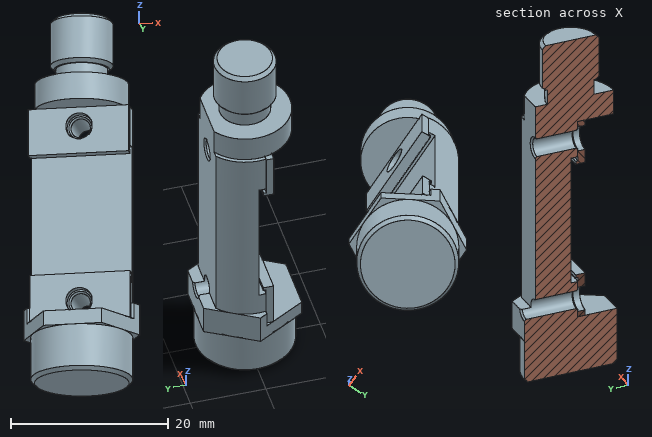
import cadquery as cq

TOTAL_HEIGHT = 48.0
HEX_BOTTOM = 6.0
HEX_STEP = 7.9
HEX_TOP = 10.0
FLANGE_BOTTOM = 36.0
FLANGE_TOP = 39.5
STUD_BOTTOM = 41.5
MIDDLE = (HEX_STEP + FLANGE_BOTTOM) / 2

BARREL_DIAMETER = 13.0
HEX_ACROSS_FLATS = BARREL_DIAMETER
HEX_FLAT_TO_CORNER = 3 ** 0.5 / 2
FLANGE_DIAMETER = 12.0
NECK_DIAMETER = 6.6
STUD_DIAMETER = 8.0
STUD_CHAMFER = 0.5
BASE_CHAMFER = 0.5
BACK_FLAT_Y = 5.0
SEAT_Y = -1.0
RECESS_Y = -0.1
SEAT_OVERHANG = 1.0

PLATE_WIDTH = 12.95
PLATE_HEIGHT = 6.1
PLATE_THICKNESS = 1.0
PLATE_SIDE_OFFSET = 0.1
LIP_HEIGHT = 0.5
LIP_DEPTH = 0.35

PLATE_HOLE_DIAMETER = 3.4
HOUSING_HOLE_DIAMETER = 2.5
HOLE_CHAMFER = 0.25
HOLE_FROM_MIDDLE = 11.55

CLEARANCE = 24.0


def cylinder(diameter, bottom, top):
    return cq.Workplane("XY").workplane(offset=bottom).circle(diameter / 2).extrude(top - bottom)


def box_between(x_range, y_range, z_range):
    """Box given by its lower and upper limit along each axis."""
    limits = (x_range, y_range, z_range)
    size = [high - low for low, high in limits]
    return cq.Workplane("XY").box(*size, centered=False).translate([low for low, high in limits])


def front_cut(back_y, bottom, top):
    """Tool that removes everything in front of back_y between two heights."""
    return box_between((-CLEARANCE, CLEARANCE), (-CLEARANCE, back_y), (bottom, top))


def housing_hole(height, back_y):
    """Tool for a hole from the plate seat to back_y, chamfered at both ends."""
    hole_radius = HOUSING_HOLE_DIAMETER / 2
    mouth_radius = hole_radius + HOLE_CHAMFER
    profile = (
        cq.Workplane("XY")
        .moveTo(0, SEAT_Y)
        .lineTo(mouth_radius, SEAT_Y)
        .lineTo(hole_radius, SEAT_Y + HOLE_CHAMFER)
        .lineTo(hole_radius, back_y - HOLE_CHAMFER)
        .lineTo(mouth_radius, back_y)
        .lineTo(0, back_y)
        .close()
    )
    return profile.revolve(360, (0, 0, 0), (0, 1, 0)).translate((0, 0, height))


def make_housing():
    base = cylinder(BARREL_DIAMETER, 0, HEX_BOTTOM).faces("<Z").chamfer(BASE_CHAMFER)
    hexagon = (
        cq.Workplane("XY")
        .workplane(offset=HEX_BOTTOM)
        .polygon(6, HEX_ACROSS_FLATS / HEX_FLAT_TO_CORNER)
        .extrude(HEX_TOP - HEX_BOTTOM)
        .cut(front_cut(SEAT_Y, HEX_STEP, HEX_TOP))
    )

    barrel = cylinder(BARREL_DIAMETER, HEX_TOP, FLANGE_BOTTOM)
    barrel = barrel.cut(front_cut(SEAT_Y, HEX_TOP, FLANGE_BOTTOM))
    seat_to_middle = FLANGE_BOTTOM - PLATE_HEIGHT + SEAT_OVERHANG - MIDDLE
    barrel = barrel.cut(front_cut(RECESS_Y, MIDDLE - seat_to_middle, MIDDLE + seat_to_middle))

    flange = cylinder(FLANGE_DIAMETER, FLANGE_BOTTOM, FLANGE_TOP)
    back_flat = box_between((-CLEARANCE, CLEARANCE), (BACK_FLAT_Y, CLEARANCE), (HEX_TOP, FLANGE_TOP))
    shaft = barrel.union(flange).cut(back_flat)

    neck = cylinder(NECK_DIAMETER, FLANGE_TOP, STUD_BOTTOM)
    stud = cylinder(STUD_DIAMETER, STUD_BOTTOM, TOTAL_HEIGHT).faces("<Z or >Z").chamfer(STUD_CHAMFER)
    housing = base.union(hexagon).union(shaft).union(neck).union(stud)

    upper_hole = housing_hole(MIDDLE + HOLE_FROM_MIDDLE, BACK_FLAT_Y)
    lower_hole = housing_hole(MIDDLE - HOLE_FROM_MIDDLE, HEX_ACROSS_FLATS / 2)
    return housing.cut(upper_hole).cut(lower_hole)


def make_plate(turn):
    """Upper plate, turned by the given angle about the Y-direction axis at mid height."""
    left = -PLATE_WIDTH / 2 - PLATE_SIDE_OFFSET
    x_range = (left, left + PLATE_WIDTH)
    bottom = FLANGE_BOTTOM - PLATE_HEIGHT
    slab = box_between(x_range, (SEAT_Y - PLATE_THICKNESS, SEAT_Y), (bottom, FLANGE_BOTTOM))
    lip = box_between(x_range, (SEAT_Y, SEAT_Y + LIP_DEPTH), (bottom, bottom + LIP_HEIGHT))
    hole = (
        cq.Workplane("XZ", origin=(0, SEAT_Y, MIDDLE + HOLE_FROM_MIDDLE))
        .circle(PLATE_HOLE_DIAMETER / 2)
        .extrude(PLATE_THICKNESS)
    )
    plate = slab.union(lip).cut(hole)
    return plate.rotate((0, 0, MIDDLE), (0, 1, MIDDLE), turn)


housing = make_housing()
plates = [make_plate(turn) for turn in (0, 180)]

result = cq.Compound.makeCompound([housing.val(), *[plate.val() for plate in plates]])